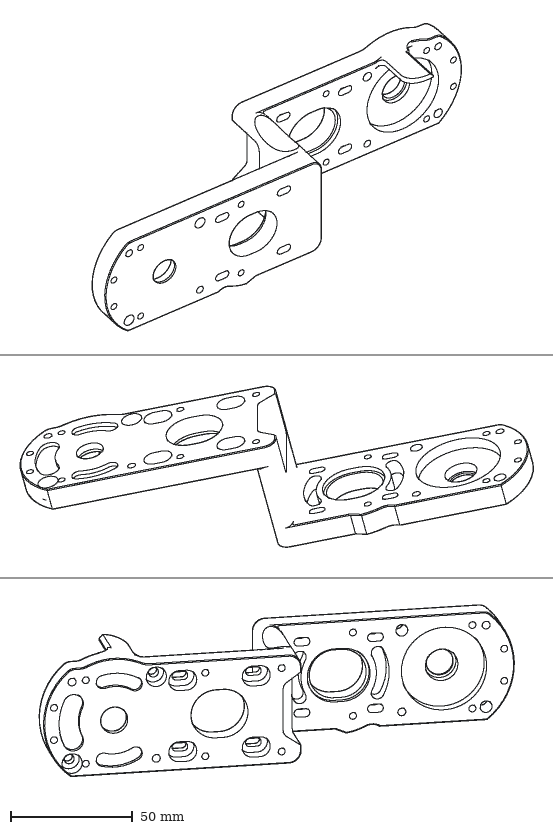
import cadquery as cq
import math


total_width = 50.0
plate_thickness = 10.0
axis_offset = 73.0
end_radius = 29.5
half_height = 23.4
edge_chamfer = 0.5
shoulder_radius = 4.7
inner_face = total_width - plate_thickness

web_half = 5.3
corner_radius = 5.1
web_fillet = 1.0
scallop_radius = 28.7
scallop_depth = 3.3

pocket_width = 20.0
pocket_depth = 7.5
pocket_floor_half = 10.7
pocket_mouth_half = 16.0
pocket_fillet = 3.0

bump_radius = 26.6
bump_near_offset = 10.5
bump_far_offset = 10.7
bump_near_start = 14.8
bump_far_start = 14.4
arm_tip = 32.2
arm_inner_radius = 24.2
arm_tip_radius = 8.6
arm_root_near = 3.0
arm_root_far = 4.5
arm_edge_chamfer = 1.6

lobe_radius = 25.6
lobe_start = 1.5
lobe_apex = 3.3
lobe_end = 11.0
notch_middle = 14.1
notch_end = 17.2
notch_depth = 1.0

bore_offset = 29.0
bore_diameter = 20.7
bore_length = 23.8
bore_step_diameter = 23.0
bore_step_length = 26.2
bore_step_depth = 2.0
axis_bore_diameter = 11.3
axis_step_diameter = 13.5
rear_step_depth = 7.0
front_step_depth = 9.0
seat_diameter = 35.7
seat_depth = 5.0

screw_pitch = 17.6
small_screw = 3.3
medium_screw = 4.0
large_screw = 5.0
screw_head = 8.5
head_depth = 6.2
pin_diameter = 2.9
pin_height = 18.0
pin_offsets = (34.8, 84.9)
web_pin_offset = 2.9
web_pin_depth = 8.2
end_pin_offset = 98.2
end_pin_height = 7.0
slot_pitch = 15.4
slot_length = 6.5
slot_width = 3.5
slot_head_length = 11.7
slot_head_width = 8.6

selection_reach = 0.2

end_recess_radius = 18.9
end_recess_width = 8.5
end_recess_angle = 25
side_recess_radius = 17.5
side_recess_width = 5.7
side_recess_outer = 15.5
side_recess_inner = 30.6
rear_recess_depth = 1.8
bore_recess_radius = 18.5
bore_recess_width = 5.3
bore_recess_angle = 28
front_recess_depth = 6.2


def plane_at(x):
    """Sketch plane normal to X whose local axes are global Y and Z."""
    return cq.Workplane("YZ", origin=(x, 0, 0))


def on_circle(radius, offset):
    """Height of a circle at a horizontal offset from its centre."""
    return math.sqrt(radius**2 - offset**2)


def round_hole(x, y, z, diameter, depth=plate_thickness):
    return plane_at(x).center(y, z).circle(diameter / 2).extrude(depth)


def slot(x, y, z, length, width, depth=plate_thickness):
    return plane_at(x).center(y, z).slot2D(length, width).extrude(depth)


def curved_recess(x, centre_y, radius, width, start, end, depth):
    """Round-ended slot along an arc centred on Z = 0, angles in degrees from +Y."""

    def point(arc_radius, angle):
        turn = math.radians(angle)
        return centre_y + arc_radius * math.cos(turn), arc_radius * math.sin(turn)

    inner = radius - width / 2
    outer = radius + width / 2
    middle = (start + end) / 2
    band = (
        plane_at(x)
        .moveTo(*point(inner, start))
        .threePointArc(point(inner, middle), point(inner, end))
        .lineTo(*point(outer, end))
        .threePointArc(point(outer, middle), point(outer, start))
        .close()
        .extrude(depth)
    )
    for angle in (start, end):
        band = band.union(round_hole(x, *point(radius, angle), width, depth))
    return band


def finish_edges(plate, corner_y):
    """Round the upper end corner of a plate and break the edges of both faces."""
    reach = selection_reach
    corner = cq.selectors.BoxSelector(
        (0, corner_y - reach, half_height - reach),
        (total_width, corner_y + reach, half_height + reach),
    )
    rounded = plate.edges("|X").edges(corner).fillet(shoulder_radius)
    return rounded.faces("<X or >X").chamfer(edge_chamfer)


def rear_plate():
    corner = axis_offset + on_circle(end_radius, half_height)
    near_start = axis_offset - bump_near_start
    near_end = axis_offset - bump_near_offset
    far_end = axis_offset + bump_far_offset
    far_start = axis_offset + bump_far_start
    near_height = on_circle(bump_radius, bump_near_offset)
    far_height = on_circle(bump_radius, bump_far_offset)
    outline = (
        plane_at(0)
        .moveTo(-web_half, corner_radius - half_height)
        .radiusArc((corner_radius - web_half, -half_height), -corner_radius)
        .lineTo(corner, -half_height)
        .threePointArc((axis_offset + end_radius, 0), (corner, half_height))
        .lineTo(far_start, half_height)
        .spline(
            [(far_end, far_height)],
            tangents=[(-1, 0), (-far_height, bump_far_offset)],
            includeCurrent=True,
        )
        .threePointArc((axis_offset, bump_radius), (near_end, near_height))
        .spline(
            [(near_start, half_height)],
            tangents=[(-near_height, -bump_near_offset), (-1, 0)],
            includeCurrent=True,
        )
        .lineTo(corner_radius - web_half, half_height)
        .radiusArc((-web_half, half_height - corner_radius), -corner_radius)
        .close()
    )
    return finish_edges(outline.extrude(plate_thickness), corner)


def front_plate():
    corner = -axis_offset - on_circle(end_radius, half_height)
    lobe_middle = (lobe_apex + lobe_end) / 2
    outline = (
        plane_at(inner_face)
        .moveTo(web_half, half_height - corner_radius)
        .radiusArc((web_half - corner_radius, half_height), -corner_radius)
        .lineTo(corner, half_height)
        .threePointArc((-axis_offset - end_radius, 0), (corner, -half_height))
        .lineTo(-bore_offset - notch_end, -half_height)
        .threePointArc(
            (-bore_offset - notch_middle, notch_depth - half_height),
            (-bore_offset - lobe_end, -on_circle(lobe_radius, lobe_end)),
        )
        .threePointArc(
            (-bore_offset - lobe_middle, -on_circle(lobe_radius, lobe_middle)),
            (-bore_offset - lobe_apex, -on_circle(lobe_radius, lobe_apex)),
        )
        .lineTo(lobe_start - bore_offset, -half_height)
        .lineTo(web_half - corner_radius, -half_height)
        .radiusArc((web_half, corner_radius - half_height), -corner_radius)
        .close()
    )
    return finish_edges(outline.extrude(plate_thickness), corner)


def web():
    """Cross web with rounded long edges, running between the plate mid-planes."""
    span = total_width - plate_thickness
    return (
        cq.Workplane("XY")
        .box(span, 2 * web_half, 2 * half_height)
        .edges("|X")
        .fillet(corner_radius)
        .translate((total_width / 2, 0, 0))
    )


def web_scallop():
    centre_z = half_height - scallop_depth + scallop_radius
    return (
        cq.Workplane("XZ", origin=(total_width / 2, web_half, centre_z))
        .circle(scallop_radius)
        .extrude(2 * web_half)
    )


def web_pocket():
    """Flared pocket in the web, open towards -Y and through the rear plate's face."""
    floor_y = pocket_depth - web_half
    return (
        plane_at(0)
        .polyline(
            [
                (-web_half, -pocket_mouth_half),
                (floor_y, -pocket_floor_half),
                (floor_y, pocket_floor_half),
                (-web_half, pocket_mouth_half),
            ]
        )
        .close()
        .extrude(pocket_width)
        .edges("(|X and >Y) or (>X and (not <Y))")
        .fillet(pocket_fillet)
    )


def arm():
    """Hooked arm: a curved strip under the bump surface, flared where it leaves the plate."""
    near_y = axis_offset - bump_near_offset
    near_root = near_y - arm_root_near
    far_root = axis_offset + arm_root_far
    footprint = (
        cq.Workplane("XY")
        .moveTo(0, near_root)
        .lineTo(plate_thickness, near_root)
        .radiusArc((plate_thickness + arm_root_near, near_y), arm_root_near)
        .lineTo(arm_tip - arm_tip_radius, near_y)
        .radiusArc((arm_tip, near_y + arm_tip_radius), -arm_tip_radius)
        .lineTo(arm_tip, axis_offset)
        .lineTo(plate_thickness + arm_root_far, axis_offset)
        .radiusArc((plate_thickness, far_root), arm_root_far)
        .lineTo(0, far_root)
        .close()
        .extrude(bump_radius)
    )
    ring = (
        plane_at(edge_chamfer)
        .center(axis_offset, 0)
        .circle(bump_radius)
        .circle(arm_inner_radius)
        .extrude(arm_tip)
    )
    bevel = (
        plane_at(plate_thickness + arm_root_far)
        .moveTo(axis_offset, bump_radius)
        .lineTo(axis_offset - arm_edge_chamfer, bump_radius)
        .lineTo(axis_offset, bump_radius - arm_edge_chamfer)
        .close()
        .extrude(arm_tip)
    )
    return footprint.intersect(ring).cut(bevel)


def plate_holes(x, side):
    """Holes shared by both plates; side is +1 for the rear plate and -1 for the front one."""
    cuts = [
        round_hole(x, side * axis_offset, 0, axis_bore_diameter),
        slot(x, side * bore_offset, 0, bore_length, bore_diameter),
    ]
    for level in (-1, 1):
        cuts.append(round_hole(x, side * end_pin_offset, level * end_pin_height, pin_diameter))
        for offset in pin_offsets:
            cuts.append(round_hole(x, side * offset, level * pin_height, pin_diameter))
        for shift in (-slot_pitch, slot_pitch):
            slot_y = side * bore_offset + shift
            cuts.append(slot(x, slot_y, level * slot_pitch, slot_length, slot_width))
    return cuts


def screw_holes(x, axis_y, diameters):
    """Square of screw holes; diameters run over Y first, both from low to high."""
    corners = [(y, z) for z in (-screw_pitch, screw_pitch) for y in (-screw_pitch, screw_pitch)]
    return [round_hole(x, axis_y + y, z, size) for (y, z), size in zip(corners, diameters)]


def rear_cuts():
    cuts = plate_holes(0, 1)
    cuts += screw_holes(0, axis_offset, (small_screw, medium_screw, medium_screw, small_screw))
    for side in (-1, 1):
        head_y = axis_offset + side * screw_pitch
        cuts.append(round_hole(0, head_y, -side * screw_pitch, screw_head, head_depth))
        cuts.append(round_hole(0, web_pin_offset, side * pin_height, pin_diameter, web_pin_depth))
        for shift in (-slot_pitch, slot_pitch):
            slot_y = bore_offset + shift
            cuts.append(
                slot(0, slot_y, side * slot_pitch, slot_head_length, slot_head_width, head_depth)
            )
        cuts.append(
            curved_recess(
                0,
                axis_offset,
                side_recess_radius,
                side_recess_width,
                side * (90 - side_recess_outer),
                side * (90 + side_recess_inner),
                rear_recess_depth,
            )
        )
    cuts.append(
        curved_recess(
            0,
            axis_offset,
            end_recess_radius,
            end_recess_width,
            -end_recess_angle,
            end_recess_angle,
            rear_recess_depth,
        )
    )
    seat_x = plate_thickness - seat_depth
    cuts.append(round_hole(seat_x, axis_offset, 0, seat_diameter, seat_depth))
    ring_x = plate_thickness - rear_step_depth
    cuts.append(round_hole(ring_x, axis_offset, 0, axis_step_diameter, rear_step_depth))
    step_x = plate_thickness - bore_step_depth
    cuts.append(
        slot(step_x, bore_offset, 0, bore_step_length, bore_step_diameter, bore_step_depth)
    )
    return cuts


def front_cuts():
    x = inner_face
    cuts = plate_holes(x, -1)
    cuts += screw_holes(x, -axis_offset, (large_screw, small_screw, small_screw, large_screw))
    cuts.append(slot(x, -bore_offset, 0, bore_step_length, bore_step_diameter, bore_step_depth))
    cuts.append(round_hole(x, -axis_offset, 0, seat_diameter, seat_depth))
    cuts.append(round_hole(x, -axis_offset, 0, axis_step_diameter, front_step_depth))
    for middle in (0, 180):
        cuts.append(
            curved_recess(
                x,
                -bore_offset,
                bore_recess_radius,
                bore_recess_width,
                middle - bore_recess_angle,
                middle + bore_recess_angle,
                front_recess_depth,
            )
        )
    return cuts


def inside_corner(x, y):
    """Selector box around the straight inside corner between the web and a plate."""
    reach = selection_reach
    return cq.selectors.BoxSelector(
        (x - reach, y - reach, -half_height), (x + reach, y + reach, half_height)
    )


bracket = rear_plate().union(front_plate()).union(web())
for corner_x, corner_y in ((plate_thickness, web_half), (inner_face, -web_half)):
    bracket = bracket.edges("|Z").edges(inside_corner(corner_x, corner_y)).fillet(web_fillet)

bracket = bracket.union(arm())
bracket = bracket.cut(web_scallop()).cut(web_pocket())
for cutter in rear_cuts() + front_cuts():
    bracket = bracket.cut(cutter)

result = bracket